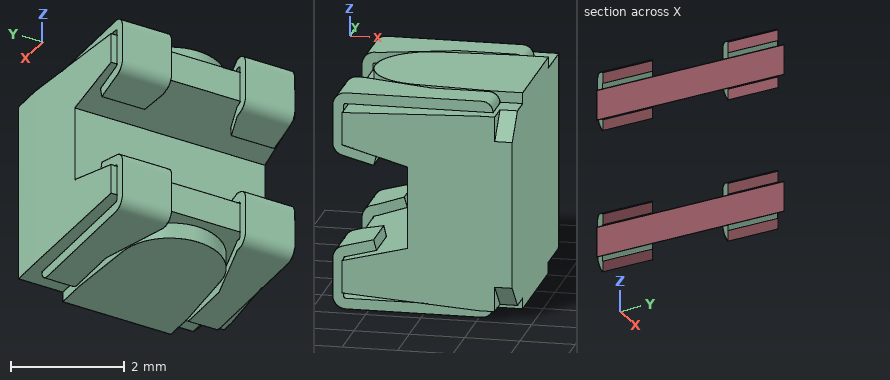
import cadquery as cq
import math

LENGTH = 3.3
WIDTH = 4.0
HEIGHT = 4.0

STRIP = 0.2
BEND_INNER = 0.04
BEND_OUTER = BEND_INNER + STRIP
LIP_ANGLE = 15.0
LIP_LENGTH = 0.585
CLIP_END_X = 2.9
CLIP_WIDE = 1.0
CLIP_SPACING = 1.5
CLIP_OUTER_Y = CLIP_SPACING / 2 + CLIP_WIDE
CLIP_NARROW = 0.6
TAPER_START_X = 0.3
TAPER_END_X = 1.66

FRONT_X = STRIP
BASE_X = 2.7
DRAFT = 3.0
BLOCK_HEIGHT = HEIGHT - 2 * STRIP
MOUTH_BACK_X = 1.39
MOUTH_BACK_HEIGHT = 1.5
MOUTH_BACK_HALF = MOUTH_BACK_HEIGHT / 2
NOTCH_X = 2.985
NOTCH_SIZE = 0.45

PAD_TIP_X = 0.4
PAD_RADIUS = 1.0
PAD_HALF = 1.1


def mouth_half_height(x):
    """Half height of the flared mouth at a distance along X."""
    return MOUTH_BACK_HALF + (MOUTH_BACK_X - x) * math.tan(math.radians(LIP_ANGLE))


def make_block():
    """Straight base with a drafted block in front of it."""
    base = cq.Workplane("YZ").workplane(offset=BASE_X).rect(WIDTH, BLOCK_HEIGHT).extrude(LENGTH - BASE_X)
    return base.faces("<X").wires().toPending().workplane().extrude(BASE_X - FRONT_X, taper=DRAFT)


def make_mouth():
    """Flared opening that runs across the front of the block."""
    mouth_half = mouth_half_height(0)
    return (
        cq.Workplane("XZ")
        .moveTo(0, -mouth_half)
        .lineTo(MOUTH_BACK_X, -MOUTH_BACK_HALF)
        .lineTo(MOUTH_BACK_X, MOUTH_BACK_HALF)
        .lineTo(0, mouth_half)
        .close()
        .extrude(WIDTH / 2, both=True)
    )


def make_pads():
    """Rounded pads above and below, as one prism through the full height."""
    centre_x = PAD_TIP_X + PAD_RADIUS
    reach = BASE_X - centre_x
    tangent = math.atan2(PAD_HALF, reach) + math.acos(PAD_RADIUS / math.hypot(reach, PAD_HALF))
    tangent_x = centre_x + PAD_RADIUS * math.cos(tangent)
    tangent_y = PAD_RADIUS * math.sin(tangent)
    return (
        cq.Workplane("XY")
        .moveTo(LENGTH, -PAD_HALF)
        .lineTo(LENGTH, PAD_HALF)
        .lineTo(BASE_X, PAD_HALF)
        .lineTo(tangent_x, tangent_y)
        .threePointArc((PAD_TIP_X, 0), (tangent_x, -tangent_y))
        .lineTo(BASE_X, -PAD_HALF)
        .close()
        .extrude(HEIGHT / 2, both=True)
    )


def make_corner_bevel(side):
    """Cutter for the back corner on the -Y face, upper (side=1) or lower (side=-1)."""
    edge_y = -WIDTH / 2
    edge_z = side * BLOCK_HEIGHT / 2
    return (
        cq.Workplane("YZ")
        .workplane(offset=NOTCH_X)
        .moveTo(edge_y, edge_z)
        .lineTo(edge_y + NOTCH_SIZE, edge_z)
        .lineTo(edge_y, edge_z - side * NOTCH_SIZE)
        .close()
        .extrude(LENGTH - NOTCH_X)
    )


def make_housing():
    """Block with pads, front mouth and two bevelled back corners."""
    body = make_block().union(make_pads()).cut(make_mouth())
    for side in (1, -1):
        body = body.cut(make_corner_bevel(side))
    return body


def make_clip_strip():
    """Bent strip of the upper clips: top leg, front leg and sloping lip."""
    top = HEIGHT / 2
    lip_bend_z = mouth_half_height(FRONT_X)
    slope = math.radians(LIP_ANGLE)

    def bend_point(radius, turn):
        """Point on the lip bend after turning by an angle from the front leg."""
        return (BEND_OUTER - radius * math.cos(turn), lip_bend_z - radius * math.sin(turn))

    def lip_tip(radius):
        """End of the lip on the face that continues a bend of this radius."""
        x, z = bend_point(radius, lip_turn)
        return (x + LIP_LENGTH * math.cos(slope), z - LIP_LENGTH * math.sin(slope))

    lip_turn = math.pi / 2 - slope
    diagonal = math.sqrt(0.5)
    top_bend_z = top - BEND_OUTER
    outer_mid = (BEND_OUTER * (1 - diagonal), top_bend_z + BEND_OUTER * diagonal)
    inner_mid = (BEND_OUTER - BEND_INNER * diagonal, top_bend_z + BEND_INNER * diagonal)
    end_start_x = CLIP_END_X - STRIP
    end_mid = (end_start_x + STRIP * diagonal, top - STRIP + STRIP * diagonal)
    return (
        cq.Workplane("XZ")
        .moveTo(end_start_x, top)
        .lineTo(BEND_OUTER, top)
        .threePointArc(outer_mid, (0, top_bend_z))
        .lineTo(0, lip_bend_z)
        .threePointArc(bend_point(BEND_OUTER, lip_turn / 2), bend_point(BEND_OUTER, lip_turn))
        .lineTo(*lip_tip(BEND_OUTER))
        .lineTo(*lip_tip(BEND_INNER))
        .lineTo(*bend_point(BEND_INNER, lip_turn))
        .threePointArc(bend_point(BEND_INNER, lip_turn / 2), (STRIP, lip_bend_z))
        .lineTo(STRIP, top_bend_z)
        .threePointArc(inner_mid, (BEND_OUTER, top - STRIP))
        .lineTo(CLIP_END_X, top - STRIP)
        .threePointArc(end_mid, (end_start_x, top))
        .close()
        .extrude(WIDTH / 2, both=True)
    )


def make_clip_outline():
    """Plan outline of the -Y clips: the inner edge tapers from wide to narrow."""
    outer_y = -CLIP_OUTER_Y
    wide_y = outer_y + CLIP_WIDE
    narrow_y = outer_y + CLIP_NARROW
    return (
        cq.Workplane("XY")
        .moveTo(0, outer_y)
        .lineTo(CLIP_END_X, outer_y)
        .lineTo(CLIP_END_X, narrow_y)
        .lineTo(TAPER_END_X, narrow_y)
        .lineTo(TAPER_START_X, wide_y)
        .lineTo(0, wide_y)
        .close()
        .extrude(HEIGHT / 2)
    )


def make_clip(at_plus_y, at_bottom):
    """One clip, mirrored from the upper -Y corner to the requested one."""
    clip = make_clip_strip().intersect(make_clip_outline())
    if at_plus_y:
        clip = clip.mirror("XZ")
    if at_bottom:
        clip = clip.mirror("XY")
    return clip


housing = make_housing().solids()
clips = []
for at_plus_y in (False, True):
    for at_bottom in (False, True):
        clips.append(make_clip(at_plus_y, at_bottom).solids().val())

result = cq.Compound.makeCompound([housing.val(), *clips])